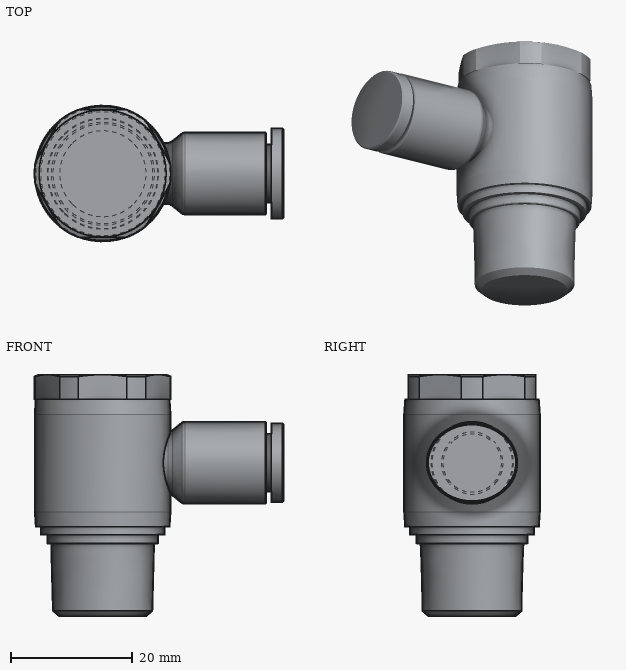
import cadquery as cq
import math

length_x = 41.05
height = 39.8

hex_across_flats = 21.0
hex_corner_radius = 11.25
hex_bottom_z = 35.75
hex_top_radius = 10.45
hex_chamfer_height = 0.33

body_radius = 11.2
body_end_radius = 11.05
body_bottom_z = 14.77
body_taper_height = 2.45

upper_step_radius = 10.2
upper_step_bottom_z = 13.45
lower_step_radius = 9.15
lower_step_bottom_z = 11.95
lower_step_chamfer = 0.12

stem_top_radius = 8.5
stem_end_radius = 8.2
stem_tip_radius = 7.1
stem_chamfer_height = 0.95

port_z = 25.27
port_end_x = length_x - hex_corner_radius
neck_radius = 5.05
cone_start_x = 11.1
neck_fillet = 1.15
sleeve_radius = 6.75
sleeve_start_x = 13.25
sleeve_end_x = 26.9
sleeve_fillet = 0.85
sleeve_chamfer = 0.15

collar_stem_radius = 4.8
collar_thickness = 2.0
collar_half_width = 7.45
collar_half_height = 6.52
collar_chamfer = 0.25


def make_column():
    """Swivel body, steps and stem as one turned profile about Z."""
    profile = [
        (0, 0),
        (stem_tip_radius, 0),
        (stem_end_radius, stem_chamfer_height),
        (stem_top_radius, lower_step_bottom_z),
        (lower_step_radius - lower_step_chamfer, lower_step_bottom_z),
        (lower_step_radius, lower_step_bottom_z + lower_step_chamfer),
        (lower_step_radius, upper_step_bottom_z),
        (upper_step_radius, upper_step_bottom_z),
        (upper_step_radius, body_bottom_z),
        (body_end_radius, body_bottom_z),
        (body_radius, body_bottom_z + body_taper_height),
        (body_radius, hex_bottom_z - body_taper_height),
        (body_end_radius, hex_bottom_z),
        (0, hex_bottom_z),
    ]
    return cq.Workplane("XZ").polyline(profile).close().revolve(360, (0, 0), (0, 1))


def make_head():
    """Hexagon with flats facing +Y and -Y, its corners turned round and chamfered on top."""
    corner_to_corner = hex_across_flats / math.cos(math.pi / 6)
    hexagon = (
        cq.Workplane("XY", origin=(0, 0, hex_bottom_z))
        .polygon(6, corner_to_corner)
        .extrude(height - hex_bottom_z)
    )
    turned_profile = [
        (0, hex_bottom_z),
        (hex_corner_radius, hex_bottom_z),
        (hex_corner_radius, height - hex_chamfer_height),
        (hex_top_radius, height),
        (0, height),
    ]
    turned = cq.Workplane("XZ").polyline(turned_profile).close().revolve(360, (0, 0), (0, 1))
    return hexagon.intersect(turned)


def ring_edge(x, radius):
    """Selector for the circular edge of the port at the given X and radius."""
    tolerance = 0.05
    return cq.selectors.BoxSelector(
        (x - tolerance, -radius - tolerance, -radius - tolerance),
        (x + tolerance, radius + tolerance, radius + tolerance),
        boundingbox=True,
    )


def make_port():
    """Neck, cone and sleeve turned about the port axis, starting on the body axis."""
    profile = [
        (0, 0),
        (0, neck_radius),
        (cone_start_x, neck_radius),
        (sleeve_start_x, sleeve_radius),
        (sleeve_end_x, sleeve_radius),
        (sleeve_end_x, 0),
    ]
    port = cq.Workplane("XZ").polyline(profile).close().revolve(360, (0, 0), (1, 0))
    port = port.faces(">X").chamfer(sleeve_chamfer)
    port = port.edges(ring_edge(cone_start_x, neck_radius)).fillet(neck_fillet)
    port = port.edges(ring_edge(sleeve_start_x, sleeve_radius)).fillet(sleeve_fillet)
    return port.translate((0, 0, port_z))


def make_collar():
    """Round collar stem leaving the sleeve, with an oval flange wider in Y than in Z."""
    flange_start_x = port_end_x - collar_thickness
    stem = (
        cq.Workplane("YZ", origin=(sleeve_end_x, 0, port_z))
        .circle(collar_stem_radius)
        .extrude(flange_start_x - sleeve_end_x)
    )
    flange = (
        cq.Workplane("YZ", origin=(flange_start_x, 0, port_z))
        .ellipse(collar_half_width, collar_half_height)
        .extrude(collar_thickness)
        .faces(">X")
        .chamfer(collar_chamfer)
    )
    return stem.union(flange)


result = make_column().union(make_head()).union(make_port()).union(make_collar())